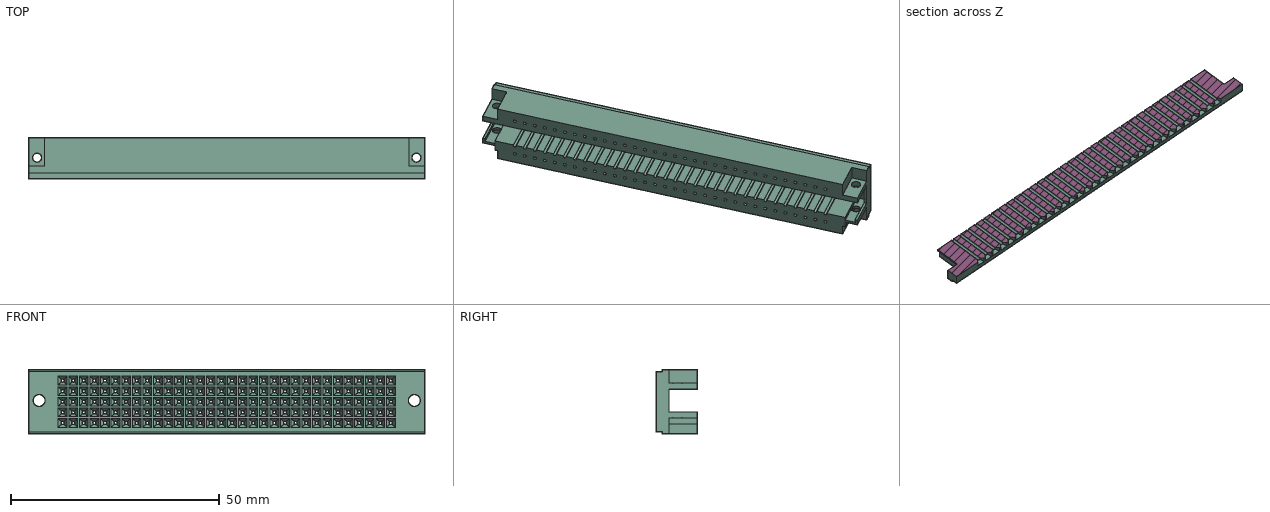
import cadquery as cq

LENGTH = 95.0
DEPTH = 9.9
HEIGHT = 15.4

LIP_DEPTH = 1.45
LIP_INSET = 0.5

PLATE_THICKNESS = 3.1

CHANNEL_HEIGHT = 5.4
CHANNEL_CENTER_Z = 0.3
CHANNEL_FLOOR_Y = 1.0

EAR_LENGTH = 3.75
EAR_THICKNESS = 1.45
EAR_HOLE_DIAMETER = 2.1
EAR_HOLE_Y = 5.1
EAR_HOLE_END_DISTANCE = 2.0

RIM_WIDTH = 0.6
SLOT_WIDTH = 2.5
SLOT_DEPTH = 0.8

SCREW_HOLE_DIAMETER = 2.8
SCREW_HOLE_END_DISTANCE = 2.5

COLUMNS = 32
ROWS = 5
PITCH = 2.54
MOUTH_SIZE = 2.1
MOUTH_DEPTH = 0.8
CONTACT_HOLE_DIAMETER = 0.7

END_X = LENGTH / 2
BLOCK_END_X = END_X - EAR_LENGTH
RIM_X = END_X - RIM_WIDTH
SLOT_END_X = RIM_X - SLOT_WIDTH
TOP_Z = HEIGHT / 2
CHANNEL_TOP_Z = CHANNEL_CENTER_Z + CHANNEL_HEIGHT / 2
CHANNEL_BOTTOM_Z = CHANNEL_CENTER_Z - CHANNEL_HEIGHT / 2
REAR_Y = (PLATE_THICKNESS, DEPTH)
ENDS = (-1, 1)


def box(x_range, y_range, z_range):
    """Axis-aligned box given by two opposite limits on each axis."""
    limits = [sorted(pair) for pair in (x_range, y_range, z_range)]
    sizes = [high - low for low, high in limits]
    corner = tuple(low for low, high in limits)
    return cq.Workplane("XY").box(*sizes, centered=False).translate(corner)


def make_block():
    """Lip, front plate and the two long walls either side of the channel."""
    lip_top_z = TOP_Z - LIP_INSET
    lip = box((-END_X, END_X), (0, LIP_DEPTH), (-lip_top_z, lip_top_z))
    plate = box((-END_X, END_X), (LIP_DEPTH, PLATE_THICKNESS), (-TOP_Z, TOP_Z))
    block_x = (-BLOCK_END_X, BLOCK_END_X)
    upper_wall = box(block_x, REAR_Y, (CHANNEL_TOP_Z, TOP_Z))
    lower_wall = box(block_x, REAR_Y, (-TOP_Z, CHANNEL_BOTTOM_Z))
    return lip.union(plate).union(upper_wall).union(lower_wall)


def make_ears(end):
    """Both ears at one end, with a rib under the lower one; end is -1 or +1 along X."""
    ear_x = (end * END_X, end * BLOCK_END_X)
    rib_x = (end * SLOT_END_X, end * BLOCK_END_X)
    lower_ear_bottom_z = CHANNEL_BOTTOM_Z - EAR_THICKNESS
    rib_bottom_z = lower_ear_bottom_z - EAR_THICKNESS
    upper_ear = box(ear_x, REAR_Y, (CHANNEL_TOP_Z, CHANNEL_TOP_Z + EAR_THICKNESS))
    lower_ear = box(ear_x, REAR_Y, (lower_ear_bottom_z, CHANNEL_BOTTOM_Z))
    rib = box(rib_x, REAR_Y, (rib_bottom_z, CHANNEL_BOTTOM_Z))
    return upper_ear.union(lower_ear).union(rib)


def make_channel_recess():
    """Part of the channel sunk into the plate, stopping short of both ends."""
    return box(
        (-RIM_X, RIM_X),
        (CHANNEL_FLOOR_Y, PLATE_THICKNESS),
        (CHANNEL_BOTTOM_Z, CHANNEL_TOP_Z),
    )


def make_slot(end):
    """Slot in the top of the lower ear, running forward to the channel floor."""
    return box(
        (end * RIM_X, end * SLOT_END_X),
        (CHANNEL_FLOOR_Y, DEPTH),
        (CHANNEL_BOTTOM_Z - SLOT_DEPTH, CHANNEL_BOTTOM_Z),
    )


def make_ear_hole(end):
    """Vertical drill through both ears at one end."""
    hole_x = end * (END_X - EAR_HOLE_END_DISTANCE)
    drill = cq.Workplane("XY").circle(EAR_HOLE_DIAMETER / 2).extrude(HEIGHT, both=True)
    return drill.translate((hole_x, EAR_HOLE_Y, 0))


def make_screw_hole(end):
    """Drill through the front plate at one end, in line with the channel."""
    hole_x = end * (END_X - SCREW_HOLE_END_DISTANCE)
    drill = cq.Workplane("XZ").circle(SCREW_HOLE_DIAMETER / 2).extrude(-PLATE_THICKNESS)
    return drill.translate((hole_x, 0, CHANNEL_CENTER_Z))


def make_contact_cavities():
    """Grid of tapered mouths with the round holes behind them, as one compound."""
    mouth = (
        cq.Workplane("XZ")
        .rect(MOUTH_SIZE, MOUTH_SIZE)
        .workplane(offset=-MOUTH_DEPTH)
        .rect(CONTACT_HOLE_DIAMETER, CONTACT_HOLE_DIAMETER)
        .loft(ruled=True)
    )
    hole = cq.Workplane("XZ").circle(CONTACT_HOLE_DIAMETER / 2).extrude(-DEPTH)
    cavity = mouth.union(hole).val()
    cavities = []
    for column in range(COLUMNS):
        for row in range(ROWS):
            x = (column - (COLUMNS - 1) / 2) * PITCH
            z = (row - (ROWS - 1) / 2) * PITCH
            cavities.append(cavity.moved(cq.Location(cq.Vector(x, 0, z))))
    return cq.Workplane(cq.Compound.makeCompound(cavities))


result = make_block().cut(make_channel_recess())
for end in ENDS:
    result = result.union(make_ears(end)).cut(make_slot(end))
    result = result.cut(make_ear_hole(end)).cut(make_screw_hole(end))
result = result.cut(make_contact_cavities()).solids()